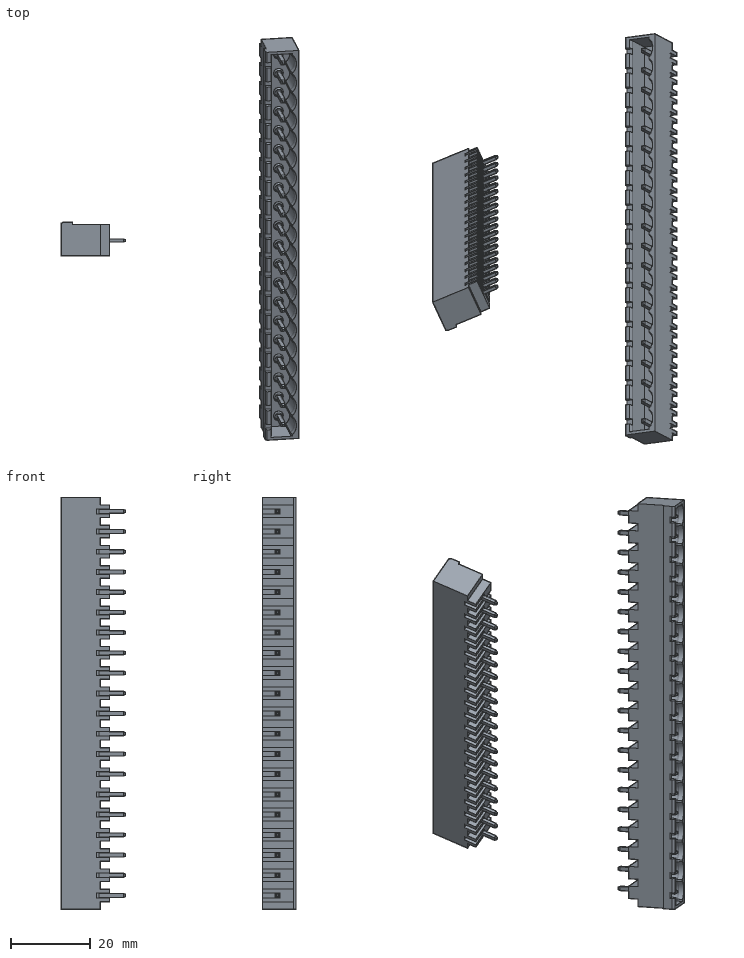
import cadquery as cq
import math

pole_count = 20
length = 103.6
end_margin = 3.5

body_end_x = 9.8
body_width = 7.9
ridge_width = 0.6
ridge_length = 2.9
ridge_chamfer_length = 0.6
ridge_chamfer_inset = 0.3

tab_end_x = 12.2
tab_height = 3.2
slot_start_x = 8.9
slot_height = 1.2

end_wall = 0.7
cavity_depth = 7.9
cavity_front_y = 2.0
cavity_back_y = 6.8
mouth_depth = 1.2
flare_inset = 0.3
scallop_radius = 2.9
notch_height = 1.5

pin_y = 3.8
contact_tip_x = 0.6
contact_size = 1.0
contact_tip_length = 0.6
contact_tip_inset = 0.3
collar_diameter = 2.5
collar_height = 0.5
collar_inset = 0.3
shoulder_end_x = 9.5
solder_pin_height = 1.0
solder_pin_thickness = 0.8
solder_pin_end_x = 16.2
solder_tip_length = 0.5
solder_tip_inset = 0.2


def taper_angle(inset, run):
    """Angle in degrees of a side that moves inwards by inset over the given run."""
    return math.degrees(math.atan(inset / run))


pitch = (length - 2 * end_margin) / (pole_count - 1)
pole_heights = [end_margin + i * pitch for i in range(pole_count)]
solder_tip_x = solder_pin_end_x - solder_tip_length
solder_tip_taper = taper_angle(solder_tip_inset, solder_tip_length)
contact_base_x = contact_tip_x + contact_tip_length
contact_tip_taper = taper_angle(contact_tip_inset, contact_tip_length)
collar_taper = taper_angle(collar_inset, collar_height)
flare_taper = taper_angle(flare_inset, mouth_depth)
full_width = body_width + ridge_width


def box(x_range, y_range, z_range):
    """Axis-aligned box between the given limits."""
    x0, x1 = x_range
    y0, y1 = y_range
    z0, z1 = z_range
    return cq.Workplane("XY").box(x1 - x0, y1 - y0, z1 - z0, centered=False).translate((x0, y0, z0))


def centred(middle, size):
    """Limits of a span of the given size around its middle."""
    return (middle - size / 2, middle + size / 2)


def make_housing():
    """Block with a latching ridge along the mating edge of its +Y side."""
    profile = (
        cq.Workplane("XY")
        .moveTo(0, 0)
        .lineTo(body_end_x, 0)
        .lineTo(body_end_x, body_width)
        .lineTo(ridge_length, body_width)
        .lineTo(ridge_length, full_width)
        .lineTo(ridge_chamfer_length, full_width)
        .lineTo(0, full_width - ridge_chamfer_inset)
        .close()
    )
    return profile.extrude(length)


def make_cavity():
    """Mating cavity whose two long walls, the -Y one scalloped around the pins, flare at the mouth."""
    mouth_front_y = cavity_front_y - flare_inset
    mouth_back_y = cavity_back_y + flare_inset
    profile = (
        cq.Workplane("XY", origin=(0, 0, end_wall))
        .moveTo(0, mouth_front_y)
        .lineTo(mouth_depth, cavity_front_y)
        .lineTo(cavity_depth, cavity_front_y)
        .lineTo(cavity_depth, cavity_back_y)
        .lineTo(mouth_depth, cavity_back_y)
        .lineTo(0, mouth_back_y)
        .close()
    )
    cavity = profile.extrude(length - 2 * end_wall)
    scallop_zone = box((0, cavity_depth), (0, pin_y), (end_wall, length - end_wall))
    for z in pole_heights:
        flare = (
            cq.Workplane("YZ", origin=(0, pin_y, z))
            .circle(scallop_radius + flare_inset)
            .extrude(mouth_depth, taper=flare_taper)
        )
        scallop = cq.Workplane("YZ", origin=(0, pin_y, z)).circle(scallop_radius).extrude(cavity_depth)
        cavity = cavity.union(scallop.union(flare).intersect(scallop_zone))
    return cavity


def make_tab(z):
    """Foot behind one pole, across the full width of the body."""
    return box((body_end_x, tab_end_x), (0, body_width), centred(z, tab_height))


def make_slot(z):
    """Slot that reaches from the -Y face to the far side of the solder pin."""
    y_range = (0, pin_y + slot_height / 2)
    return box((slot_start_x, tab_end_x), y_range, centred(z, slot_height))


def make_notch(z):
    """Coding notch through the +Y wall, as deep as the flared mouth."""
    return box((0, mouth_depth), (cavity_back_y, full_width), centred(z, notch_height))


def make_pin(z):
    """Square contact on a tapered collar, square shoulder in the slot and pointed square solder pin."""
    contact = box(
        (contact_base_x, slot_start_x), centred(pin_y, contact_size), centred(z, contact_size)
    )
    contact_tip = (
        cq.Workplane("YZ", origin=(contact_base_x, pin_y, z))
        .rect(contact_size, contact_size)
        .extrude(-contact_tip_length, taper=contact_tip_taper)
    )
    collar = (
        cq.Workplane("YZ", origin=(cavity_depth, pin_y, z))
        .circle(collar_diameter / 2)
        .extrude(-collar_height, taper=collar_taper)
    )
    shoulder = box(
        (slot_start_x, shoulder_end_x), centred(pin_y, slot_height), centred(z, slot_height)
    )
    solder_pin = box(
        (shoulder_end_x, solder_tip_x), centred(pin_y, solder_pin_thickness), centred(z, solder_pin_height)
    )
    tip = (
        cq.Workplane("YZ", origin=(solder_tip_x, pin_y, z))
        .rect(solder_pin_thickness, solder_pin_height)
        .extrude(solder_tip_length, taper=solder_tip_taper)
    )
    return contact.union(contact_tip).union(collar).union(shoulder).union(solder_pin).union(tip)


result = make_housing().cut(make_cavity())
for z in pole_heights:
    result = result.union(make_tab(z)).cut(make_slot(z)).cut(make_notch(z)).union(make_pin(z))